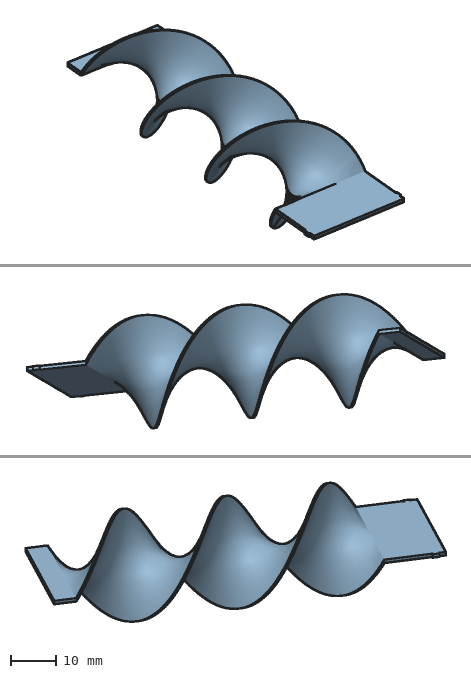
import cadquery as cq

total_length = 89.0
strip_width = 25.0
thickness = 0.9
short_tab_length = 5.0
long_tab_length = 14.0
half_turns = 3
bump_length = 1.5
bump_height = 0.31
bump_to_end = 1.5

twist_length = total_length - short_tab_length - long_tab_length
twist_angle = -180.0 * half_turns
start_x = -total_length / 2
end_x = total_length / 2
twist_start_x = start_x + short_tab_length
twist_end_x = twist_start_x + twist_length


def strip_section(x):
    """Rectangular strip cross-section, flat in XY, at station x."""
    return cq.Workplane("YZ", origin=(x, 0, 0)).rect(strip_width, thickness)


def edge_bumps():
    """Bar across the strip whose ends stand out as a small bump on each long edge."""
    centre_x = end_x - bump_to_end - bump_length / 2
    bar_width = strip_width + 2 * bump_height
    return cq.Workplane("XY", origin=(centre_x, 0, 0)).box(bump_length, bar_width, thickness)


short_tab = strip_section(start_x).extrude(short_tab_length)
twisted_strip = strip_section(twist_start_x).twistExtrude(twist_length, twist_angle)
long_tab = strip_section(twist_end_x).extrude(long_tab_length).union(edge_bumps())

result = twisted_strip.union(short_tab).union(long_tab)